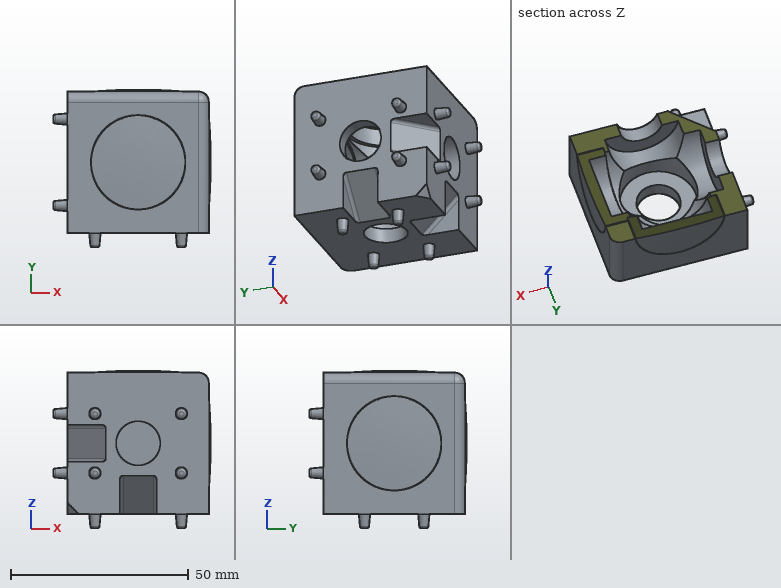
import cadquery as cq
import math

cube_size = 40.02
half_cube = cube_size / 2
edge_fillet = 3.0
corner_cut_leg = 3.25

port_radius = 6.25
bore_mouth_radius = 11.68
bore_floor_radius = 10.95
bore_floor_thickness = 4.3

counterbore_radius = 13.35
counterbore_depth = 7.75
cap_gap = 0.1
cap_radius = counterbore_radius - cap_gap
cap_wall = 2.75
dome_height = 0.55
dome_radius = (cap_radius**2 + dome_height**2) / (2 * dome_height)

notch_width = 10.5
notch_leg = 10.88
notch_fillet = 1.0

pin_length = 4.0
pin_base_radius = 1.65
pin_tip_radius = 1.3
pin_tip_fillet = 0.7
pin_wide_spacing = 24.42
pin_narrow_spacing = 16.75

PORT_FACES = [
    cq.Plane(origin=(0, 0, 0), xDir=(0, 1, 0), normal=(-1, 0, 0)),
    cq.Plane(origin=(0, 0, 0), xDir=(1, 0, 0), normal=(0, -1, 0)),
    cq.Plane(origin=(0, 0, 0), xDir=(1, 0, 0), normal=(0, 0, -1)),
]
CAP_FACES = [
    cq.Plane(origin=(0, 0, 0), xDir=(0, 1, 0), normal=(1, 0, 0)),
    cq.Plane(origin=(0, 0, 0), xDir=(1, 0, 0), normal=(0, 1, 0)),
    cq.Plane(origin=(0, 0, 0), xDir=(0, 1, 0), normal=(0, 0, 1)),
]


def rounded_cube():
    """Cube with the three edges at its +X +Y +Z corner rounded."""
    cube = cq.Workplane("XY").box(cube_size, cube_size, cube_size)
    far_corner = cq.selectors.BoxSelector(
        (-0.45, -0.45, -0.45), (cube_size, cube_size, cube_size)
    )
    return cube.edges(far_corner).fillet(edge_fillet)


def corner_cut():
    """Tetrahedron that bevels the -X -Y -Z corner."""
    corner = cq.Vector(-half_cube, -half_cube, -half_cube)
    along_x = corner + cq.Vector(corner_cut_leg, 0, 0)
    along_y = corner + cq.Vector(0, corner_cut_leg, 0)
    along_z = corner + cq.Vector(0, 0, corner_cut_leg)
    triangles = [
        (corner, along_x, along_y),
        (corner, along_y, along_z),
        (corner, along_z, along_x),
        (along_x, along_y, along_z),
    ]
    faces = [
        cq.Face.makeFromWires(cq.Wire.makePolygon(points, close=True))
        for points in triangles
    ]
    return cq.Solid.makeSolid(cq.Shell.makeShell(faces))


def edge_notch(edge_middle, edge_direction):
    """Slot pushed diagonally inward from the middle of a cube edge, its two floor corners rounded."""
    outward = edge_middle.normalized()
    floor_depth = notch_leg / math.sqrt(2)
    floor_width = notch_leg * math.sqrt(2)
    floor_frame = cq.Plane(
        origin=edge_middle - outward * floor_depth - edge_direction.cross(outward) * (floor_width / 2),
        xDir=edge_direction,
        normal=edge_direction.cross(outward),
    )
    section = (
        cq.Sketch()
        .push([(0, floor_depth)])
        .rect(notch_width, 2 * floor_depth)
        .reset()
        .vertices("<Y")
        .fillet(notch_fillet)
    )
    return cq.Workplane(floor_frame).placeSketch(section).extrude(floor_width)


def stepped_bore(face):
    """Counterbore, tapered bore and port in one line, right through the cube from a capped face."""
    outside = cq.Workplane(face).workplane(offset=half_cube)
    counterbore = outside.circle(counterbore_radius).extrude(-counterbore_depth)
    port = outside.circle(port_radius).extrude(-cube_size)
    bore = cq.Solid.makeCone(
        bore_mouth_radius,
        bore_floor_radius,
        cube_size - counterbore_depth - bore_floor_thickness,
        pnt=face.toWorldCoords((0, 0, half_cube - counterbore_depth)),
        dir=-face.zDir,
    )
    return counterbore.union(cq.Workplane(bore)).union(port)


def locating_pin():
    """Tapered pin with a rounded tip, standing on the XY plane."""
    cone = cq.Solid.makeCone(pin_base_radius, pin_tip_radius, pin_length)
    return cq.Workplane(cone).faces(">Z").edges().fillet(pin_tip_fillet)


def pins_on(face):
    """Four pins standing on one face, in a rectangle centred on its port."""
    return (
        cq.Workplane(face)
        .workplane(offset=half_cube)
        .rarray(pin_wide_spacing, pin_narrow_spacing, 2, 2)
        .eachpoint(locating_pin().val(), useLocalCoordinates=True, combine=False)
    )


def make_housing():
    """Cube with bores, notches, a bevelled corner and locating pins."""
    body = rounded_cube().cut(cq.Workplane(corner_cut()))
    for face in CAP_FACES:
        body = body.cut(stepped_bore(face))
    for direction in (cq.Vector(1, 0, 0), cq.Vector(0, 1, 0), cq.Vector(0, 0, 1)):
        edge_middle = (direction - cq.Vector(1, 1, 1)) * half_cube
        body = body.cut(edge_notch(edge_middle, direction))
    for face in PORT_FACES:
        body = body.union(pins_on(face))
    return body


def make_cap(face):
    """Cup open toward the cube centre, closed by a shallow dome that rises from the cube face."""
    rim = half_cube - counterbore_depth
    cup_ceiling = half_cube - cap_wall
    profile = (
        cq.Workplane("XZ")
        .moveTo(0, cup_ceiling)
        .lineTo(cap_radius - cap_wall, cup_ceiling)
        .lineTo(cap_radius - cap_wall, rim)
        .lineTo(cap_radius, rim)
        .lineTo(cap_radius, half_cube)
        .radiusArc((0, half_cube + dome_height), -dome_radius)
        .close()
    )
    cap = profile.revolve(360, (0, 0, 0), (0, 1, 0))
    return cap.val().moved(cq.Location(face))


housing = make_housing()
caps = [make_cap(face) for face in CAP_FACES]

result = cq.Compound.makeCompound([housing.val(), *caps])